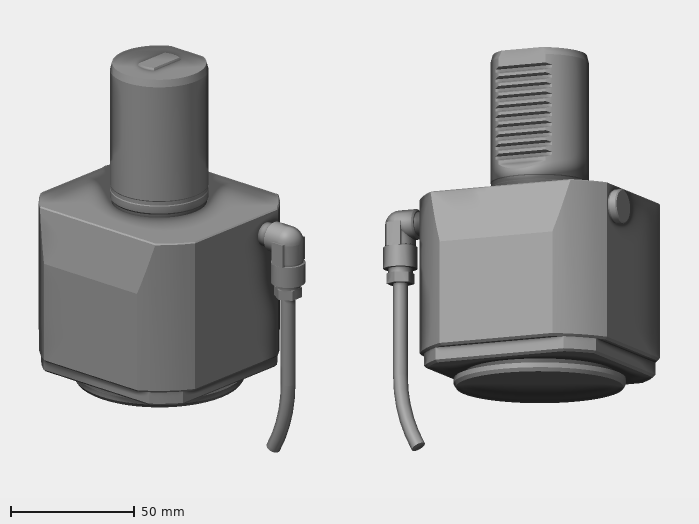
import cadquery as cq
import math


housing_width = 84.0
housing_corner_dia = 98.0
housing_height = 65.0
housing_top_chamfer = 0.5
housing_bottom_chamfer = 1.0
slope_top_half_width = 37.6
slope_depth = 22.0

plate_width = 77.0
plate_corner_dia = 96.0
plate_thickness = 6.0
plate_chamfer = 1.0
neck_dia = 61.0
neck_height = 2.5
flange_dia = 70.0
flange_thickness = 3.5
flange_chamfer_height = 1.5
flange_chamfer_depth = 0.9

shank_dia = 40.0
shank_height = 60.0
relief_dia = 39.0
relief_height = 1.3
relief_bevel_height = 0.7
shank_top_dia = 38.4
shank_taper_height = 3.0
ring_z = 6.2
ring_width = 2.4
ring_depth = 0.2
ring_bevel_height = 0.4

flat_y = 17.0
flat_bottom_z = 13.0
notch_count = 10
notch_pitch = 4.0
first_notch_z = 16.0
notch_depth = 1.5
notch_root_width = 1.2
notch_half_angle = 30.0

key_width = 9.0
key_length = 18.6
key_height = 1.0
key_draft_angle = 25.0

port_y = 18.0
port_z = -9.0

plug_head_dia = 14.0
plug_neck_dia = 13.3
plug_end_x = -45.85
plug_head_length = 3.0
plug_chamfer = 0.5

stub_dia = 10.0
elbow_dia = 12.5
elbow_start_x = 45.7
elbow_chamfer = 0.7
elbow_end_z = -17.3
elbow_neck_dia = 12.0
drop_x = 54.0
block_width = 6.0
block_length = 13.6
block_top_z = -8.3
collar_dia = 14.0
collar_top_z = -18.0
collar_bottom_z = -26.8
gland_dia = 10.0
gland_bottom_z = -28.8
nut_across_flats = 10.0
nut_bottom_z = -33.0

hose_dia = 6.0
hose_bend_z = -71.0
hose_bend_radius = 60.0
hose_bend_angle = 30.0


def disc(diameter, bottom_z, top_z, x=0.0, y=0.0):
    """Upright cylinder between two heights."""
    base = cq.Workplane("XY", origin=(x, y, bottom_z))
    return base.circle(diameter / 2).extrude(top_z - bottom_z)


def port_disc(diameter, start_x, end_x):
    """Cylinder along X on the coolant port axis."""
    base = cq.Workplane("YZ", origin=(start_x, port_y, port_z))
    return base.circle(diameter / 2).extrude(end_x - start_x)


def revolve_about_z(half_profile):
    """Solid of revolution from (radius, height) points."""
    outline = cq.Workplane("XZ").polyline(half_profile).close()
    return outline.revolve(360, (0, 0, 0), (0, 1, 0))


def rounded_square(width, corner_dia, bottom_z, height):
    """Square block whose corners are cut back to a circle about the Z axis."""
    block = cq.Workplane("XY", origin=(0, 0, bottom_z)).rect(width, width).extrude(height)
    return block.intersect(disc(corner_dia, bottom_z, bottom_z + height))


def make_housing():
    body = rounded_square(housing_width, housing_corner_dia, -housing_height, housing_height)
    half = housing_width / 2
    side_profile = [
        (-half, -housing_height),
        (half, -housing_height),
        (half, -slope_depth),
        (slope_top_half_width, 0),
        (-slope_top_half_width, 0),
        (-half, -slope_depth),
    ]
    envelope = cq.Workplane("YZ").polyline(side_profile).close().extrude(half, both=True)
    body = body.intersect(envelope)
    body = body.faces(">Z").chamfer(housing_top_chamfer)
    return body.faces("<Z").chamfer(housing_bottom_chamfer)


def make_base():
    plate_bottom = -housing_height - plate_thickness
    neck_bottom = plate_bottom - neck_height
    flange_bottom = neck_bottom - flange_thickness
    plate = rounded_square(plate_width, plate_corner_dia, plate_bottom, plate_thickness)
    plate = plate.faces("<Z").chamfer(plate_chamfer)
    neck = disc(neck_dia, neck_bottom, plate_bottom)
    flange = make_flange(flange_bottom, neck_bottom)
    return plate.union(neck).union(flange)


def make_flange(bottom_z, top_z):
    """Round flange with a steep chamfer on its lower edge."""
    radius = flange_dia / 2
    half_profile = [
        (0, bottom_z),
        (radius - flange_chamfer_depth, bottom_z),
        (radius, bottom_z + flange_chamfer_height),
        (radius, top_z),
        (0, top_z),
    ]
    return revolve_about_z(half_profile)


def make_shank():
    radius = shank_dia / 2
    relief_radius = relief_dia / 2
    ring_radius = radius - ring_depth
    ring_bottom = ring_z - ring_width / 2
    ring_top = ring_z + ring_width / 2
    half_profile = [
        (0, 0),
        (relief_radius, 0),
        (relief_radius, relief_height),
        (radius, relief_height + relief_bevel_height),
        (radius, ring_bottom),
        (ring_radius, ring_bottom + ring_bevel_height),
        (ring_radius, ring_top - ring_bevel_height),
        (radius, ring_top),
        (radius, shank_height - shank_taper_height),
        (shank_top_dia / 2, shank_height),
        (0, shank_height),
    ]
    shank = revolve_about_z(half_profile)
    return shank.cut(make_flat_cutter()).union(make_key())


def make_flat_cutter():
    """Flat with a 45 degree run-out at its lower end and a row of notches."""
    radius = shank_dia / 2
    flat_depth = radius - flat_y
    flat_profile = [
        (flat_y, shank_height),
        (flat_y, flat_bottom_z),
        (radius, flat_bottom_z - flat_depth),
        (radius, shank_height),
    ]
    cutter = cq.Workplane("YZ").polyline(flat_profile).close().extrude(radius, both=True)
    root_half = notch_root_width / 2
    mouth_half = root_half + notch_depth * math.tan(math.radians(notch_half_angle))
    root_y = flat_y - notch_depth
    for index in range(notch_count):
        z = first_notch_z + index * notch_pitch
        notch_profile = [
            (root_y, z - root_half),
            (flat_y, z - mouth_half),
            (flat_y, z + mouth_half),
            (root_y, z + root_half),
        ]
        notch = cq.Workplane("YZ").polyline(notch_profile).close().extrude(radius, both=True)
        cutter = cutter.union(notch)
    return cutter


def make_key():
    """Raised, drafted key with ends rounded about the shank axis."""
    end_y = key_length / 2
    half_width = key_width / 2
    corner_y = math.sqrt(end_y**2 - half_width**2)
    outline = (
        cq.Workplane("XY", origin=(0, 0, shank_height))
        .moveTo(half_width, -corner_y)
        .lineTo(half_width, corner_y)
        .threePointArc((0, end_y), (-half_width, corner_y))
        .lineTo(-half_width, -corner_y)
        .threePointArc((0, -end_y), (half_width, -corner_y))
        .close()
    )
    return outline.extrude(key_height, taper=key_draft_angle)


def make_plug():
    head_inner_x = plug_end_x + plug_head_length
    head = port_disc(plug_head_dia, plug_end_x, head_inner_x).faces("<X").chamfer(plug_chamfer)
    neck = port_disc(plug_neck_dia, head_inner_x, -housing_width / 2)
    return head.union(neck)


def make_elbow():
    stub = port_disc(stub_dia, housing_width / 2, elbow_start_x)
    arm = port_disc(elbow_dia, elbow_start_x, drop_x).faces("<X").chamfer(elbow_chamfer)
    ball = cq.Workplane("XY", origin=(drop_x, port_y, port_z)).sphere(elbow_dia / 2)
    leg = disc(elbow_dia, elbow_end_z, port_z, drop_x, port_y)
    leg_neck = disc(elbow_neck_dia, collar_top_z, elbow_end_z, drop_x, port_y)
    block = cq.Workplane("XY", origin=(drop_x, port_y, collar_top_z)).rect(block_width, block_length)
    block = block.extrude(block_top_z - collar_top_z)
    return stub.union(arm).union(ball).union(leg).union(leg_neck).union(block)


def make_hose_connector():
    collar = disc(collar_dia, collar_bottom_z, collar_top_z, drop_x, port_y)
    gland = disc(gland_dia, gland_bottom_z, collar_bottom_z, drop_x, port_y)
    across_corners = nut_across_flats / math.cos(math.radians(30))
    nut = cq.Workplane("XY").polygon(6, across_corners).extrude(gland_bottom_z - nut_bottom_z)
    nut = nut.rotate((0, 0, 0), (0, 0, 1), 90).translate((drop_x, port_y, nut_bottom_z))
    return collar.union(gland).union(nut)


def make_hose():
    straight = disc(hose_dia, hose_bend_z, nut_bottom_z, drop_x, port_y)
    bend_section = cq.Workplane("XY", origin=(drop_x, port_y, hose_bend_z)).circle(hose_dia / 2)
    bend = bend_section.revolve(hose_bend_angle, (-hose_bend_radius, 0, 0), (-hose_bend_radius, 1, 0))
    return straight.union(bend)


result = (
    make_housing()
    .union(make_base())
    .union(make_shank())
    .union(make_plug())
    .union(make_elbow())
    .union(make_hose_connector())
    .union(make_hose())
)